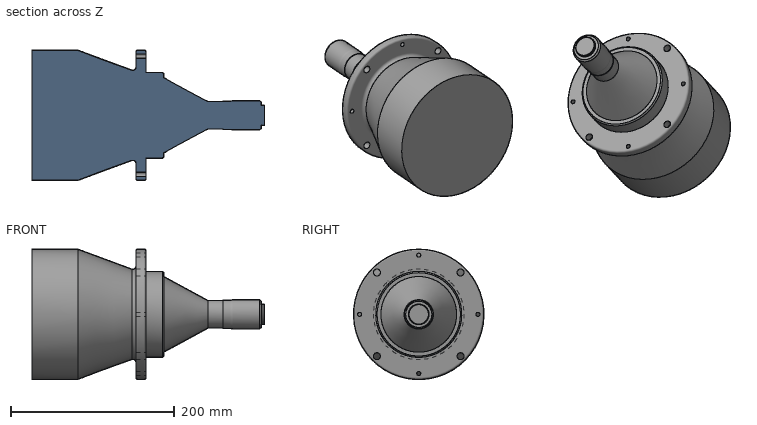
import cadquery as cq
import math

drum_end = 56.3
main_cone_end = 122.5
flange_front = 127.5
flange_back = 140.0
hub_end = 161.7
rear_cone_end = 215.8
neck_end = 234.3
collar_end = 243.8
taper_end = 246.2
barrel_end = 281.3
total_length = 285.3

drum_radius = 80.0
flange_radius = drum_radius
waist_radius = 55.5
hub_radius = 52.75
rear_cone_radius = 46.4
neck_radius = 17.0
collar_radius = 17.5
barrel_radius = 18.0
tip_radius = 12.6

waist_fillet = 3.5
flange_fillet = 2.5
hub_chamfer = 1.7
barrel_chamfer = 2.0
tip_chamfer = 0.7

bolt_circle_radius = 72.5
bolt_hole_diameter = 8.5
pin_hole_diameter = 5.0
hole_count = 4
bolt_start_angle = 45.0
pin_start_angle = 0.0


def turned(start, end, start_radius, end_radius):
    """Solid cylinder or cone around the X axis between two stations."""
    return (
        cq.Workplane("XZ")
        .moveTo(start, 0)
        .lineTo(start, start_radius)
        .lineTo(end, end_radius)
        .lineTo(end, 0)
        .close()
        .revolve(360, (0, 0, 0), (1, 0, 0))
    )


def front_body():
    """Drum, tapering to the waist in front of the flange."""
    drum = turned(0, drum_end, drum_radius, drum_radius)
    cone = turned(drum_end, main_cone_end, drum_radius, waist_radius)
    waist = turned(main_cone_end, flange_front, waist_radius, waist_radius)
    return drum.union(cone).union(waist)


def flange():
    """Mounting flange with both rim edges rounded."""
    disc = turned(flange_front, flange_back, flange_radius, flange_radius)
    return disc.edges("%CIRCLE").fillet(flange_fillet)


def waist_blend():
    """Concave ring that blends the waist into the front face of the flange."""
    blend_start = flange_front - waist_fillet
    blend_radius = waist_radius + waist_fillet
    middle = waist_fillet * math.sin(math.pi / 4)
    return (
        cq.Workplane("XZ")
        .moveTo(blend_start, waist_radius)
        .threePointArc(
            (blend_start + middle, blend_radius - middle),
            (flange_front, blend_radius),
        )
        .lineTo(flange_front, waist_radius)
        .close()
        .revolve(360, (0, 0, 0), (1, 0, 0))
    )


def rear_body():
    """Hub behind the flange, tapering to the neck."""
    hub = turned(flange_back, hub_end, hub_radius, hub_radius)
    hub = hub.faces(">X").edges().chamfer(hub_chamfer)
    cone = turned(hub_end, rear_cone_end, rear_cone_radius, neck_radius)
    neck = turned(rear_cone_end, neck_end, neck_radius, neck_radius)
    return hub.union(cone).union(neck)


def barrel():
    """Collar flaring slightly into a slim barrel, which ends in a stepped tip."""
    collar = turned(neck_end, collar_end, collar_radius, collar_radius)
    taper = turned(collar_end, taper_end, collar_radius, barrel_radius)
    sleeve = turned(taper_end, barrel_end, barrel_radius, barrel_radius)
    sleeve = sleeve.faces(">X").edges().chamfer(barrel_chamfer)
    tip = turned(barrel_end, total_length, tip_radius, tip_radius)
    tip = tip.edges("%CIRCLE").chamfer(tip_chamfer)
    return collar.union(taper).union(sleeve).union(tip)


def flange_holes(diameter, start_angle):
    """Ring of equally spaced cutters passing through the flange."""
    return (
        cq.Workplane("YZ", origin=(flange_front, 0, 0))
        .polarArray(bolt_circle_radius, start_angle, 360, hole_count)
        .circle(diameter / 2)
        .extrude(flange_back - flange_front)
    )


body = front_body().union(flange()).union(waist_blend()).union(rear_body()).union(barrel())
body = body.cut(flange_holes(bolt_hole_diameter, bolt_start_angle))
result = body.cut(flange_holes(pin_hole_diameter, pin_start_angle))